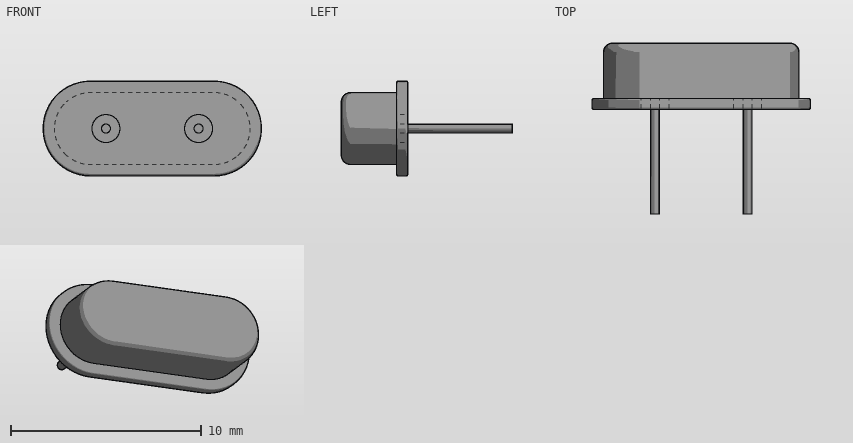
import cadquery as cq

flange_length = 11.5
flange_width = 5.0
flange_thickness = 0.6
flange_edge_radius = 0.1
straight_length = flange_length - flange_width

can_width = 3.8
can_length = straight_length + can_width
can_height = 2.91
can_edge_radius = 0.5

pin_diameter = 0.47
pin_length = 5.5
pin_spacing = 4.88
pin_positions = [-pin_spacing / 2, pin_spacing / 2]

insulator_diameter = 1.47


def stadium(length, width, start_y, depth):
    """Round-ended block along X, extruded from start_y toward +Y."""
    plane = cq.Workplane("XZ", origin=(0, start_y, 0))
    return plane.slot2D(length, width).extrude(-depth)


def cylinder(x, diameter, start_y, depth):
    """Round bar along Y, centred at x, starting at start_y."""
    return cq.Workplane("XZ", origin=(x, start_y, 0)).circle(diameter / 2).extrude(-depth)


def make_housing():
    """Can on a flange, with a through hole in the flange for each insulator."""
    flange = stadium(flange_length, flange_width, 0, flange_thickness)
    flange = flange.faces("<Y or >Y").edges().fillet(flange_edge_radius)
    can = stadium(can_length, can_width, flange_thickness, can_height)
    can = can.faces(">Y").edges().fillet(can_edge_radius)
    body = flange.union(can)
    for x in pin_positions:
        body = body.cut(cylinder(x, insulator_diameter, 0, flange_thickness))
    return body


def make_insulator(x):
    """Disc flush with the flange's outer face, with a through hole for its pin."""
    disc = cylinder(x, insulator_diameter, 0, flange_thickness)
    return disc.cut(cylinder(x, pin_diameter, 0, flange_thickness))


def make_pin(x):
    """Straight lead that passes through its insulator."""
    return cylinder(x, pin_diameter, -pin_length, pin_length + flange_thickness)


housing = make_housing()
insulators = [make_insulator(x).val() for x in pin_positions]
pins = [make_pin(x).val() for x in pin_positions]

result = cq.Compound.makeCompound([housing.val(), *insulators, *pins])